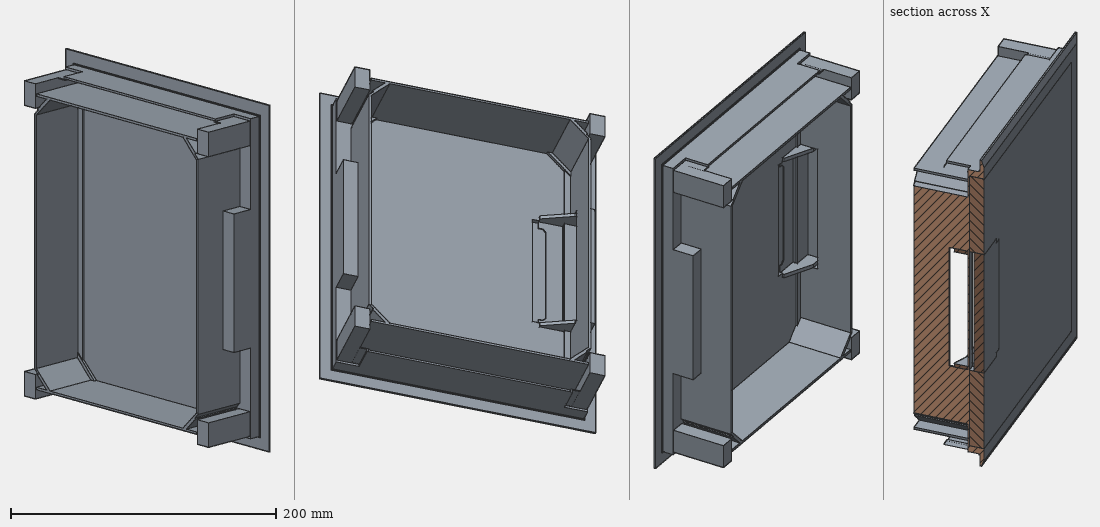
import cadquery as cq

FLANGE_X = 218.5
FLANGE_Z = 271.5
FLANGE_THICKNESS = 3.5
BEVEL_WIDTH = 5.7
BEVEL_HEIGHT = 2.2
BASE_X = 199.3
BASE_Z = 251.0
BASE_DEPTH = 13.3
RIDGE_OVERHANG = 0.8
RIDGE_DEPTH = 4.3
OUTER_WALL = 1.5
OUTER_WALL_DEPTH = 32.9
TOTAL_DEPTH = 57.3

COLLAR_X = 176.0
COLLAR_Z = 231.9
COLLAR_WALL = 2.0
PANEL_OUTER_SUM = 188.0
PANEL_INNER_SUM = 185.5
RIB_OUTER_SUM = 189.2
RIB_END_X = 84.5
LEDGE_SUM = 181.5
LEDGE_RISE = 0.8

POST_X = 12.5
POST_Z = 19.3
POST_DROP = 2.0
POST_INSET = 0.5
BRACKET_X = 18.2
BRACKET_THICKNESS = 0.8
BRACKET_LEG = 1.4
TAB_Z = 108.5
TAB_DEPTH = 31.0

POCKET_DEPTH = 28.2
POCKET_OUTER_X = 96.5

OPENING_X = 162.4
LID_X = 184.5
LID_Z = 239.0
LID_DEPTH = 12.0

FLAP_EDGE_X = 56.2
FLAP_Z = 97.2
FLAP_DEPTH = 8.7
CHEEK_EDGE_X = 62.0
CHEEK_INNER_Z = 49.5
CHEEK_THICKNESS = 3.0
CHEEK_LOW_DEPTH = 13.3
CHEEK_HIGH_DEPTH = 24.5
PAD_RISE = 0.8
PAD_EDGE_X = 68.0
PAD_STEP_X = 65.5
PAD_STEP_Z = 43.5
PAD_HALF_Z = 40.7

COLLAR_INNER_X = COLLAR_X / 2 - COLLAR_WALL
COLLAR_INNER_Z = COLLAR_Z / 2 - COLLAR_WALL
CHEEK_OUTER_Z = CHEEK_INNER_Z + CHEEK_THICKNESS
SIDES = (-1, 1)
CORNERS = [(sx, sz) for sx in SIDES for sz in SIDES]
PLAIN_CORNER = (1, -1)


def block(x_range, depth_range, z_range):
    """Box between two X values, two depths below Y = 0 and two Z values, in any order."""
    x0, x1 = sorted(x_range)
    d0, d1 = sorted(depth_range)
    z0, z1 = sorted(z_range)
    return cq.Workplane("XY").box(x1 - x0, d1 - d0, z1 - z0, centered=False).translate((x0, -d1, z0))


def centred_block(size_x, size_z, depth_range):
    """Box centred on the Y axis."""
    return block((-size_x / 2, size_x / 2), depth_range, (-size_z / 2, size_z / 2))


def depth_plane(depth):
    """Sketch plane with local axes X and Z whose normal points toward -Y."""
    return cq.Workplane("XZ", origin=(0, -depth, 0))


def flange():
    bevel_start = centred_block(FLANGE_X, FLANGE_Z, (BEVEL_HEIGHT, FLANGE_THICKNESS))
    bevel = (
        depth_plane(0)
        .rect(FLANGE_X - 2 * BEVEL_WIDTH, FLANGE_Z - 2 * BEVEL_WIDTH)
        .workplane(offset=BEVEL_HEIGHT)
        .rect(FLANGE_X, FLANGE_Z)
        .loft()
    )
    ridge_x = BASE_X + 2 * RIDGE_OVERHANG
    ridge_z = BASE_Z + 2 * RIDGE_OVERHANG
    return bevel_start.union(bevel).union(centred_block(ridge_x, ridge_z, (0, RIDGE_DEPTH)))


def outer_wall(side):
    """Thin wall along the top or bottom, shortened at both ends beside the posts."""
    outer_z = side * BASE_Z / 2
    half_x = BASE_X / 2 - BRACKET_X
    return block((-half_x, half_x), (BASE_DEPTH, OUTER_WALL_DEPTH), (outer_z, outer_z - side * OUTER_WALL))


def side_tab(side):
    return block((side * BASE_X / 2, side * COLLAR_INNER_X), (BASE_DEPTH, TAB_DEPTH), (-TAB_Z / 2, TAB_Z / 2))


def corner_post(sx, sz):
    """Post with a thin bracket whose leg meets the end of the outer wall."""
    outer_x = sx * BASE_X / 2
    edge_z = sz * BASE_Z / 2
    top = edge_z - sz * POST_DROP
    notch_end = outer_x - sx * BRACKET_X
    bracket_end = notch_end - sx * BRACKET_LEG
    bracket_bottom = top - sz * BRACKET_THICKNESS
    post = block(
        (outer_x - sx * POST_INSET, outer_x - sx * POST_X),
        (BASE_DEPTH, TOTAL_DEPTH),
        (top, top - sz * POST_Z),
    )
    bracket_depths = (BASE_DEPTH, OUTER_WALL_DEPTH)
    bracket = block((outer_x - sx * POST_INSET, bracket_end), bracket_depths, (top, bracket_bottom))
    leg = block((notch_end, bracket_end), bracket_depths, (edge_z, bracket_bottom))
    return post.union(bracket).union(leg)


def collar_side(side):
    half_z = PANEL_OUTER_SUM - COLLAR_X / 2
    return block((side * COLLAR_X / 2, side * COLLAR_INNER_X), (BASE_DEPTH, TOTAL_DEPTH), (-half_z, half_z))


def collar_plate(side):
    return block(
        (-COLLAR_INNER_X, COLLAR_INNER_X),
        (BASE_DEPTH, TOTAL_DEPTH),
        (side * COLLAR_Z / 2, side * COLLAR_INNER_Z),
    )


def corner_prism(points, depth_range, sx, sz):
    """Prism along Y from points of the (+X, +Z) corner, mirrored into the given corner."""
    near, far = depth_range
    outline = [(sx * x, sz * z) for x, z in points]
    return depth_plane(near).polyline(outline).close().extrude(far - near)


def corner_panel(sx, sz):
    """45-degree collar panel with a low rib on its outer face."""
    x = COLLAR_X / 2
    z = COLLAR_Z / 2
    rib_foot_z = PANEL_OUTER_SUM - RIB_END_X
    rib_step = (RIB_OUTER_SUM - PANEL_OUTER_SUM) / 2
    points = [
        (x, PANEL_OUTER_SUM - x),
        (RIB_END_X, rib_foot_z),
        (RIB_END_X + rib_step, rib_foot_z + rib_step),
        (RIB_OUTER_SUM - z, z),
        (PANEL_INNER_SUM - z, z),
        (x, PANEL_INNER_SUM - x),
    ]
    return corner_prism(points, (LID_DEPTH, TOTAL_DEPTH), sx, sz)


def corner_ledge(sx, sz):
    """Triangular ledge at the foot of a corner panel, slightly proud of the base."""
    x = COLLAR_INNER_X
    z = COLLAR_INNER_Z
    points = [
        (x, LEDGE_SUM - x),
        (LEDGE_SUM - z, z),
        (PANEL_OUTER_SUM - z, z),
        (x, PANEL_OUTER_SUM - x),
    ]
    return corner_prism(points, (LID_DEPTH, BASE_DEPTH + LEDGE_RISE), sx, sz)


def lid_opening():
    """Opening through the base, chamfered to the inner faces of the corner panels."""
    x = OPENING_X / 2
    z = COLLAR_INNER_Z
    chamfer_x = PANEL_INNER_SUM - z
    chamfer_z = PANEL_INNER_SUM - x
    right_half = [(chamfer_x, -z), (x, -chamfer_z), (x, chamfer_z), (chamfer_x, z)]
    left_half = [(-px, pz) for px, pz in reversed(right_half)]
    return depth_plane(0).polyline(right_half + left_half).close().extrude(BASE_DEPTH)


def make_frame():
    frame = flange().union(centred_block(BASE_X, BASE_Z, (0, BASE_DEPTH)))
    frame = frame.cut(lid_opening())
    frame = frame.cut(centred_block(LID_X, LID_Z, (0, LID_DEPTH)))
    for side in SIDES:
        frame = frame.union(outer_wall(side)).union(side_tab(side))
        frame = frame.union(collar_side(side)).union(collar_plate(side))
    for sx, sz in CORNERS:
        frame = frame.union(corner_post(sx, sz)).union(corner_panel(sx, sz))
        if (sx, sz) != PLAIN_CORNER:
            frame = frame.union(corner_ledge(sx, sz))
    flap_pocket = block(
        (COLLAR_INNER_X, POCKET_OUTER_X),
        (BASE_DEPTH, POCKET_DEPTH),
        (-CHEEK_OUTER_Z, CHEEK_OUTER_Z),
    )
    return frame.cut(flap_pocket)


def flap_outline(depth):
    """Flap area of the lid, from Y = 0 to the given depth, widened under the cheeks."""
    plate = block((FLAP_EDGE_X, LID_X / 2), (0, depth), (-FLAP_Z / 2, FLAP_Z / 2))
    return plate.union(block((CHEEK_EDGE_X, LID_X / 2), (0, depth), (-CHEEK_OUTER_Z, CHEEK_OUTER_Z)))


def make_lid():
    return centred_block(LID_X, LID_Z, (0, LID_DEPTH)).cut(flap_outline(LID_DEPTH))


def flap_pad():
    """Low raised pad with stepped, chamfered corners, reaching to the edge of the opening."""
    half_outline = [
        (OPENING_X / 2, CHEEK_INNER_Z),
        (CHEEK_EDGE_X, CHEEK_INNER_Z),
        (CHEEK_EDGE_X, PAD_STEP_Z),
        (PAD_STEP_X, PAD_STEP_Z),
        (PAD_EDGE_X, PAD_HALF_Z),
    ]
    mirrored = [(x, -z) for x, z in reversed(half_outline)]
    return depth_plane(FLAP_DEPTH).polyline(half_outline + mirrored).close().extrude(PAD_RISE)


def flap_cheek(side):
    """Wedge that rises toward the collar, rests on the base and ends in the pocket."""
    ledge_x = OPENING_X / 2
    profile = [
        (CHEEK_EDGE_X, -FLAP_DEPTH),
        (ledge_x, -FLAP_DEPTH),
        (ledge_x, -BASE_DEPTH),
        (POCKET_OUTER_X, -BASE_DEPTH),
        (POCKET_OUTER_X, -CHEEK_HIGH_DEPTH),
        (COLLAR_INNER_X, -CHEEK_HIGH_DEPTH),
        (CHEEK_EDGE_X, -CHEEK_LOW_DEPTH),
    ]
    bottom = CHEEK_INNER_Z if side > 0 else -CHEEK_OUTER_Z
    return cq.Workplane("XY", origin=(0, 0, bottom)).polyline(profile).close().extrude(CHEEK_THICKNESS)


def make_flap():
    flap = flap_outline(FLAP_DEPTH).union(flap_pad())
    for side in SIDES:
        flap = flap.union(flap_cheek(side))
    return flap


frame = make_frame()
lid = make_lid()
cable_flap = make_flap()

result = cq.Compound.makeCompound([frame.val(), lid.val(), cable_flap.val()])